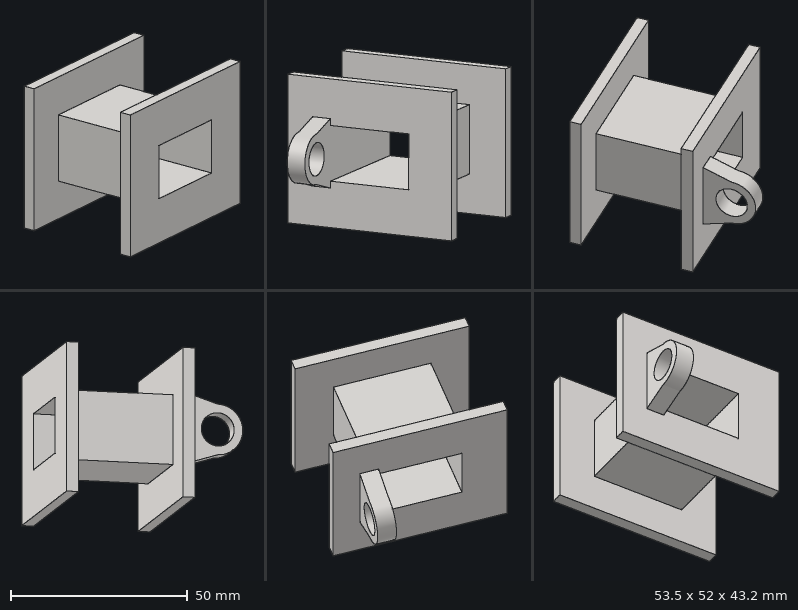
import cadquery as cq

total_length = 53.5
flange_width = 52.0
flange_height = 43.2
flange_thickness = 3.55

tube_width = 29.05
tube_height = 20.1
opening_width = 24.8
opening_height = 16.15

lug_thickness = 5.6
lug_radius = 7.35
lug_hole_diameter = 9.5
lug_length = 16.0

spool_length = total_length - lug_length
spool_start = lug_length - total_length / 2
spool_end = total_length / 2
lug_tip = -total_length / 2
lug_center = lug_tip + lug_radius


def block_along_x(start, length, width, height):
    """Block centred on the X axis, reaching from start towards +X."""
    return cq.Workplane("YZ", origin=(start, 0, 0)).rect(width, height).extrude(length)


def make_flange(start):
    return block_along_x(start, flange_thickness, flange_width, flange_height)


def make_lug():
    """Round-nosed eye that widens to the tube height at the flange."""
    outer_face = opening_width / 2 + lug_thickness
    return (
        cq.Workplane("XZ", origin=(0, outer_face, 0))
        .moveTo(spool_start, tube_height / 2)
        .lineTo(lug_center, lug_radius)
        .threePointArc((lug_tip, 0), (lug_center, -lug_radius))
        .lineTo(spool_start, -tube_height / 2)
        .close()
        .moveTo(lug_center, 0)
        .circle(lug_hole_diameter / 2)
        .extrude(lug_thickness)
    )


tube = block_along_x(spool_start, spool_length, tube_width, tube_height)
opening = block_along_x(spool_start, spool_length, opening_width, opening_height)

spool = (
    tube
    .union(make_flange(spool_start))
    .union(make_flange(spool_end - flange_thickness))
    .cut(opening)
)

result = spool.union(make_lug())